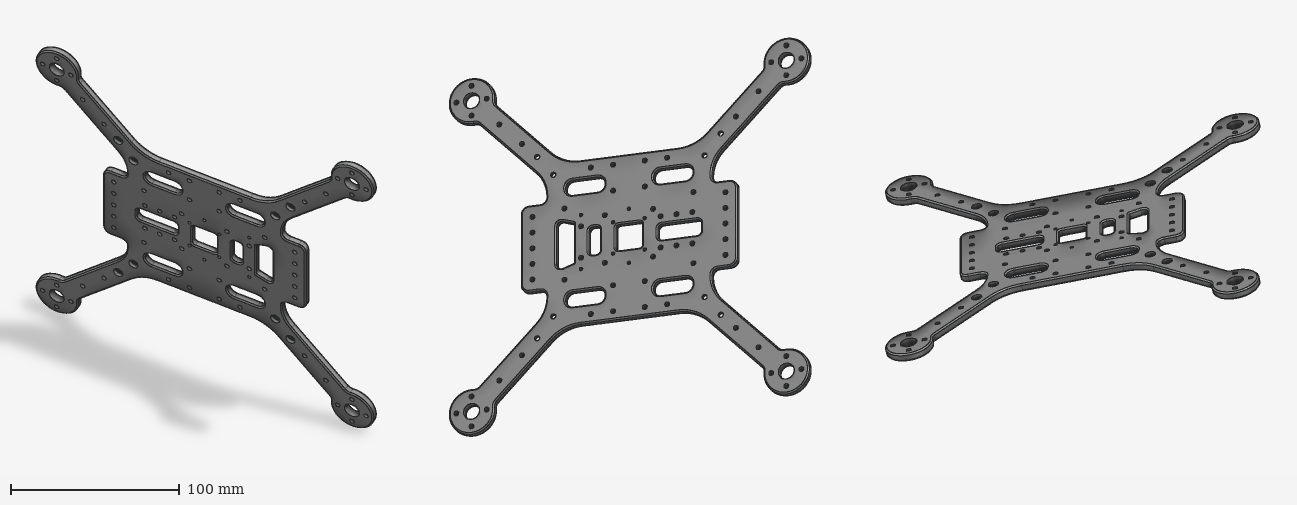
import cadquery as cq
import math

SPAN = 226.0
THICKNESS = 5.0
EDGE_CHAMFER = 1.0

MOUNT_RADIUS = 14.2
ARM_WIDTH = 15.0
MOUNT_BLEND = 4.5
MOTOR_SHAFT_DIAMETER = 10.0
MOTOR_BOLT_OFFSET = 9.5
MOUNT_CENTER = SPAN / 2 - MOUNT_RADIUS

TAB_HALF_WIDTH = 67.8
TAB_HALF_HEIGHT = 27.3
TAB_CORNER_RADIUS = 5.0
WAIST_HALF_WIDTH = 51.8
BODY_HALF_HEIGHT = 52.0
COVE_RADIUS = 4.0
LOWER_ARM_RADIUS = 22.5
UPPER_ARM_RADIUS = 26.0

OVAL_LENGTH = 24.9
OVAL_HEIGHT = 9.7
OVAL_CENTER = (27.5, 35.5)
OVAL_CORNER_RADIUS = 4.7
LONG_WINDOW_LENGTH = 27.5
LONG_WINDOW_HEIGHT = 10.2
LONG_WINDOW_X = -31.6
LONG_WINDOW_RADIUS = 3.0
SQUARE_WINDOW_SIDE = 16.7
SQUARE_WINDOW_RADIUS = 2.0
NARROW_WINDOW_WIDTH = 7.5
NARROW_WINDOW_HEIGHT = 18.0
NARROW_WINDOW_X = 21.7
NARROW_WINDOW_RADIUS = 3.0
TAPERED_LEFT_X = 34.4
TAPERED_RIGHT_X = 45.6
TAPERED_LEFT_HALF_HEIGHT = 12.7
TAPERED_RIGHT_HALF_HEIGHT = 16.3
TAPERED_LEFT_RADIUS = 1.0
TAPERED_RIGHT_RADIUS = 3.2

BOLT_DIAMETER = 3.0
SMALL_DIAMETER = 2.0
PIN_DIAMETER = 2.0
COUNTERBORE_DIAMETER = 6.0
COUNTERBORE_DEPTH = THICKNESS / 2
COUNTERBORED_HOLE_DIAMETER = 3.2
GRID = 10.0
TAB_HOLE_X = 60.5
TOP_ROW_Z = 46.5
TOP_ROW_X = 24.0
MID_ROW_Z = 30.0
SIDE_HOLE = (40.5, 22.5)
STACK_HOLE = 15.1
SENSOR_X = 30.0
PIN_Z = 17.2
ARM_BOLTS = (67.1, 81.4)
ARM_COUNTERBORE = 57.6
BODY_COUNTERBORE = (47.5, 45.0)

SIGNS = (1, -1)


def front_plane():
    """Sketch plane on the front face; a negative extrusion runs into the plate."""
    return cq.Workplane("XZ", origin=(0, -THICKNESS / 2, 0))


def mirrored(x, z):
    """The four mirror images of a point about the X and Z axes."""
    return [(sx * x, sz * z) for sx in SIGNS for sz in SIGNS]


def mirrored_up_down(x, z):
    return [(x, sz * z) for sz in SIGNS]


def mirrored_left_right(x, z):
    return [(sx * x, z) for sx in SIGNS]


def rounded_plate(corners):
    """Full-thickness plate through (x, z, radius) corners, each rounded by a tangent arc."""
    outline = front_plane()
    draw_to = outline.moveTo
    for i, (x, z, radius) in enumerate(corners):
        corner = cq.Vector(x, z)
        before = cq.Vector(*corners[i - 1][:2])
        after = cq.Vector(*corners[(i + 1) % len(corners)][:2])
        to_before = (before - corner).normalized()
        to_after = (after - corner).normalized()
        half_angle = to_before.getAngle(to_after) / 2
        setback = radius / math.tan(half_angle)
        start = corner + to_before * setback
        end = corner + to_after * setback
        outline = draw_to(start.x, start.y)
        if radius > 0:
            crown_distance = radius / math.sin(half_angle) - radius
            crown = corner + (to_before + to_after).normalized() * crown_distance
            outline = outline.threePointArc((crown.x, crown.y), (end.x, end.y))
        draw_to = outline.lineTo
    return outline.close().extrude(-THICKNESS)


def rounded_rectangle(center_x, center_z, width, height, radius):
    corners = [
        (center_x + sx * width / 2, center_z + sz * height / 2, radius)
        for sx, sz in ((1, -1), (1, 1), (-1, 1), (-1, -1))
    ]
    return rounded_plate(corners)


def chamfer_rims(plate):
    """Chamfer every edge of the front and back faces."""
    return plate.faces("|Y").edges().chamfer(EDGE_CHAMFER)


def body_and_arms():
    edge_offset = ARM_WIDTH / math.sqrt(2)
    outer = MOUNT_CENTER + edge_offset / 2
    inner = MOUNT_CENTER - edge_offset / 2
    quarter = [
        (TAB_HALF_WIDTH, TAB_HALF_HEIGHT, TAB_CORNER_RADIUS),
        (WAIST_HALF_WIDTH, TAB_HALF_HEIGHT, COVE_RADIUS),
        (WAIST_HALF_WIDTH, WAIST_HALF_WIDTH - edge_offset, LOWER_ARM_RADIUS),
        (outer, inner, 0),
        (inner, outer, 0),
        (BODY_HALF_HEIGHT - edge_offset, BODY_HALF_HEIGHT, UPPER_ARM_RADIUS),
    ]
    upper = quarter + [(-x, z, radius) for x, z, radius in reversed(quarter)]
    lower = [(x, -z, radius) for x, z, radius in reversed(upper)]
    return rounded_plate(upper + lower)


def motor_mounts():
    centers = mirrored(MOUNT_CENTER, MOUNT_CENTER)
    return front_plane().pushPoints(centers).circle(MOUNT_RADIUS).extrude(-THICKNESS)


def blend_mounts(frame):
    """Fillet the inside corners where the arm edges run into the round mounts."""
    half_width = ARM_WIDTH / 2
    along_arm = math.sqrt(MOUNT_RADIUS**2 - half_width**2)
    near = MOUNT_CENTER - (along_arm + half_width) / math.sqrt(2)
    far = MOUNT_CENTER - (along_arm - half_width) / math.sqrt(2)
    for x, z in mirrored(near, far) + mirrored(far, near):
        frame = frame.edges(cq.NearestToPointSelector((x, 0, z))).fillet(MOUNT_BLEND)
    return frame


def window_plates():
    tapered_corners = [
        (TAPERED_LEFT_X, -TAPERED_LEFT_HALF_HEIGHT, TAPERED_LEFT_RADIUS),
        (TAPERED_RIGHT_X, -TAPERED_RIGHT_HALF_HEIGHT, TAPERED_RIGHT_RADIUS),
        (TAPERED_RIGHT_X, TAPERED_RIGHT_HALF_HEIGHT, TAPERED_RIGHT_RADIUS),
        (TAPERED_LEFT_X, TAPERED_LEFT_HALF_HEIGHT, TAPERED_LEFT_RADIUS),
    ]
    windows = [
        rounded_rectangle(LONG_WINDOW_X, 0, LONG_WINDOW_LENGTH, LONG_WINDOW_HEIGHT, LONG_WINDOW_RADIUS),
        rounded_rectangle(0, 0, SQUARE_WINDOW_SIDE, SQUARE_WINDOW_SIDE, SQUARE_WINDOW_RADIUS),
        rounded_rectangle(
            NARROW_WINDOW_X, 0, NARROW_WINDOW_WIDTH, NARROW_WINDOW_HEIGHT, NARROW_WINDOW_RADIUS
        ),
        rounded_plate(tapered_corners),
    ]
    for x, z in mirrored(*OVAL_CENTER):
        windows.append(rounded_rectangle(x, z, OVAL_LENGTH, OVAL_HEIGHT, OVAL_CORNER_RADIUS))
    return windows


def drill(frame, points, diameter):
    cutter = front_plane().pushPoints(points).circle(diameter / 2).extrude(-THICKNESS)
    return frame.cut(cutter)


def counterbore(frame, points):
    """Through holes with a wider flat-bottomed recess in the front face."""
    frame = drill(frame, points, COUNTERBORED_HOLE_DIAMETER)
    recess = front_plane().pushPoints(points).circle(COUNTERBORE_DIAMETER / 2).extrude(-COUNTERBORE_DEPTH)
    return frame.cut(recess)


frame = blend_mounts(body_and_arms().union(motor_mounts()))
for window in window_plates():
    frame = frame.cut(window)
frame = chamfer_rims(frame)

mount_bolts = []
for center_x, center_z in mirrored(MOUNT_CENTER, MOUNT_CENTER):
    for sign in SIGNS:
        mount_bolts.append((center_x + sign * MOTOR_BOLT_OFFSET, center_z))
        mount_bolts.append((center_x, center_z + sign * MOTOR_BOLT_OFFSET))

arm_bolts = []
for distance in ARM_BOLTS:
    arm_bolts += mirrored(distance, distance)

body_bolts = mirrored_left_right(TAB_HOLE_X, 0)
for x, z in (
    (TAB_HOLE_X, GRID),
    (TAB_HOLE_X, 2 * GRID),
    (TOP_ROW_X, TOP_ROW_Z),
    (GRID, TOP_ROW_Z),
    (GRID, MID_ROW_Z),
    SIDE_HOLE,
    (STACK_HOLE, STACK_HOLE),
):
    body_bolts += mirrored(x, z)
for column in (2, 3, 4):
    body_bolts += mirrored_up_down(-column * GRID, GRID)
body_bolts += mirrored_up_down(SENSOR_X, GRID)

frame = drill(frame, mirrored(MOUNT_CENTER, MOUNT_CENTER), MOTOR_SHAFT_DIAMETER)
frame = drill(frame, mount_bolts + arm_bolts + body_bolts, BOLT_DIAMETER)
frame = drill(frame, mirrored(GRID, GRID), SMALL_DIAMETER)
frame = drill(frame, mirrored_up_down(0, PIN_Z) + mirrored_up_down(SENSOR_X, PIN_Z), PIN_DIAMETER)
result = counterbore(frame, mirrored(ARM_COUNTERBORE, ARM_COUNTERBORE) + mirrored(*BODY_COUNTERBORE))